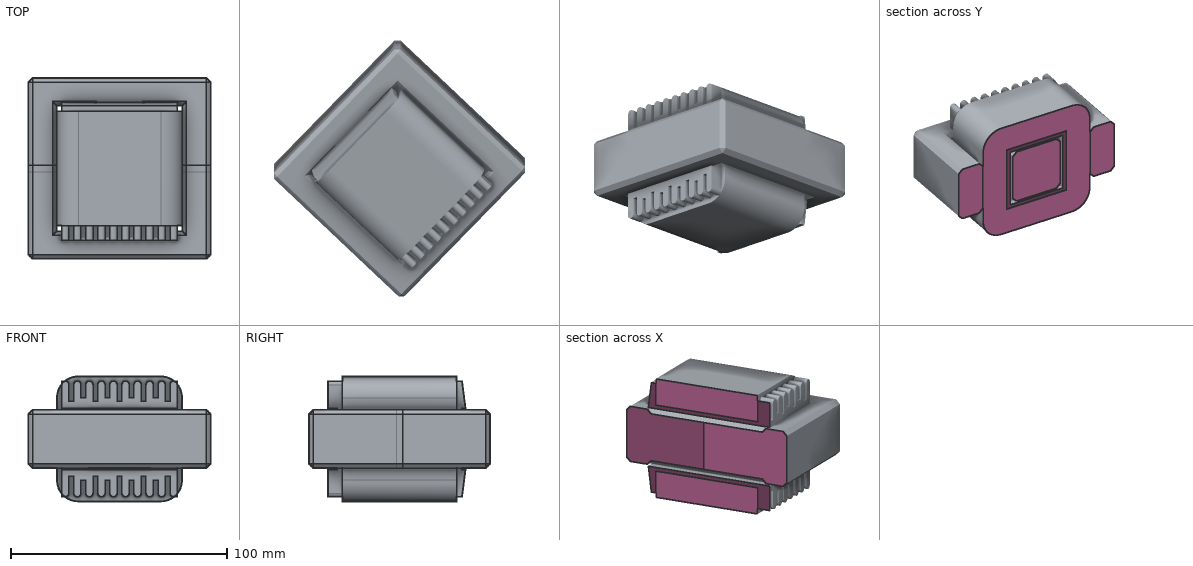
import cadquery as cq


core_width = 84.5
core_length = 83.8
core_height = 27.0
core_chamfer = 2.0
center_leg_width = 25.8
gap_thickness = 3.1

winding_size = 58.0
winding_length = 53.0
winding_radius = 10.0
window_size = winding_size

bore_size = 28.4
tube_wall = 2.0
tube_size = bore_size + 2 * tube_wall
plate_thickness = (window_size - winding_length) / 2
comb_depth = 6.7
wedge_overhang = 1.6

slot_count = 9
finger_pitch = 5.6
finger_width = 3.4
finger_radius = finger_width / 2
slot_width = finger_pitch - finger_width
deep_slot_floor = 17.3
shallow_slot_floor = 19.1
flange_size = slot_count * finger_pitch + finger_width

winding_end = winding_length / 2
window_end = window_size / 2
bore_half = bore_size / 2
flange_half = flange_size / 2


def block(x_size, y_start, y_end, z_start, z_end):
    """Box centred on X between the given Y and Z limits."""
    return cq.Workplane("XY").box(x_size, y_end - y_start, z_end - z_start).translate(
        (0, (y_start + y_end) / 2, (z_start + z_end) / 2)
    )


def square_tube(outer_size, bore, y_start, y_end):
    """Square block along Y with a square bore through it."""
    solid = block(outer_size, y_start, y_end, -outer_size / 2, outer_size / 2)
    return solid.cut(block(bore, y_start, y_end, -bore / 2, bore / 2))


def window_cutter(side):
    """Core window on one side of the center leg, flared at both mouths to chamfer its rim."""
    width = (window_size - center_leg_width) / 2
    center_x = side * (center_leg_width + width) / 2
    straight_half = core_height / 2 - core_chamfer
    profile = cq.Workplane("XY").center(center_x, 0).rect(width, window_size)
    cutter = profile.extrude(straight_half, both=True)
    flare = (
        cq.Workplane("XY", origin=(0, 0, core_height / 2))
        .center(center_x, 0)
        .rect(width + 2 * core_chamfer, window_size + 2 * core_chamfer)
        .extrude(-core_chamfer, taper=45)
    )
    return cutter.union(flare).union(flare.mirror("XY"))


def make_core_halves():
    """Front and rear E halves; the gap spacers are fused to the front legs."""
    core = cq.Workplane("XY").box(core_width, core_length, core_height).edges().chamfer(core_chamfer)
    for side in (-1, 1):
        core = core.cut(window_cutter(side))

    def slice_between(y_start, y_end):
        return core.intersect(block(core_width, y_start, y_end, -core_height / 2, core_height / 2))

    gap_half = gap_thickness / 2
    front = slice_between(-core_length / 2, -gap_half)
    spacers = slice_between(-gap_half, gap_half)
    rear = slice_between(gap_half, core_length / 2)
    return front.union(spacers, clean=False), rear


def make_winding():
    """Round-cornered coil wound on the bobbin tube."""
    coil = block(winding_size, -winding_end, winding_end, -winding_size / 2, winding_size / 2)
    coil = coil.edges("|Y").fillet(winding_radius)
    return coil.cut(block(tube_size, -winding_end, winding_end, -tube_size / 2, tube_size / 2))


def comb_edge():
    """Upper half of the front flange: a deep bar with round-topped fingers and wire slots."""
    y_start = -winding_end - comb_depth
    finger_base = flange_half - finger_radius
    comb = block(flange_size, y_start, -winding_end, bore_half, finger_base)
    for index in range(slot_count + 1):
        x = (index - slot_count / 2) * finger_pitch
        crown = cq.Workplane("XZ", origin=(x, -winding_end, finger_base)).circle(finger_radius)
        comb = comb.union(crown.extrude(comb_depth))
    for index in range(slot_count):
        x = (index - (slot_count - 1) / 2) * finger_pitch
        floor = deep_slot_floor if index % 2 == 0 else shallow_slot_floor
        comb = comb.cut(block(slot_width, y_start, -winding_end, floor, flange_half).translate((x, 0, 0)))
    return comb


def front_cheeks():
    """Thin front plate on both sides of the bore, joining the upper and lower combs."""
    plate = block(flange_size, -window_end, -winding_end, -bore_half, bore_half)
    return plate.cut(block(bore_size, -window_end, -winding_end, -bore_half, bore_half))


def rear_wedge():
    """Bar on the rear plate above the bore, thickening toward the core."""
    return (
        cq.Workplane("YZ", origin=(-flange_half, 0, 0))
        .moveTo(window_end, bore_half)
        .lineTo(window_end + wedge_overhang, bore_half)
        .lineTo(window_end, flange_half)
        .close()
        .extrude(flange_size)
    )


def make_bobbin():
    """Square tube with a comb flange at the front and a plain wedge flange at the rear."""
    comb = comb_edge()
    wedge = rear_wedge()
    bobbin = square_tube(tube_size, bore_size, -winding_end, winding_end)
    bobbin = bobbin.union(front_cheeks()).union(comb).union(comb.mirror("XY"))
    bobbin = bobbin.union(square_tube(flange_size, bore_size, winding_end, winding_end + plate_thickness))
    return bobbin.union(wedge).union(wedge.mirror("XY"))


front_core, rear_core = make_core_halves()
winding = make_winding()
bobbin = make_bobbin()

result = cq.Compound.makeCompound(
    [body.solids().val() for body in (front_core, rear_core, bobbin, winding)]
)